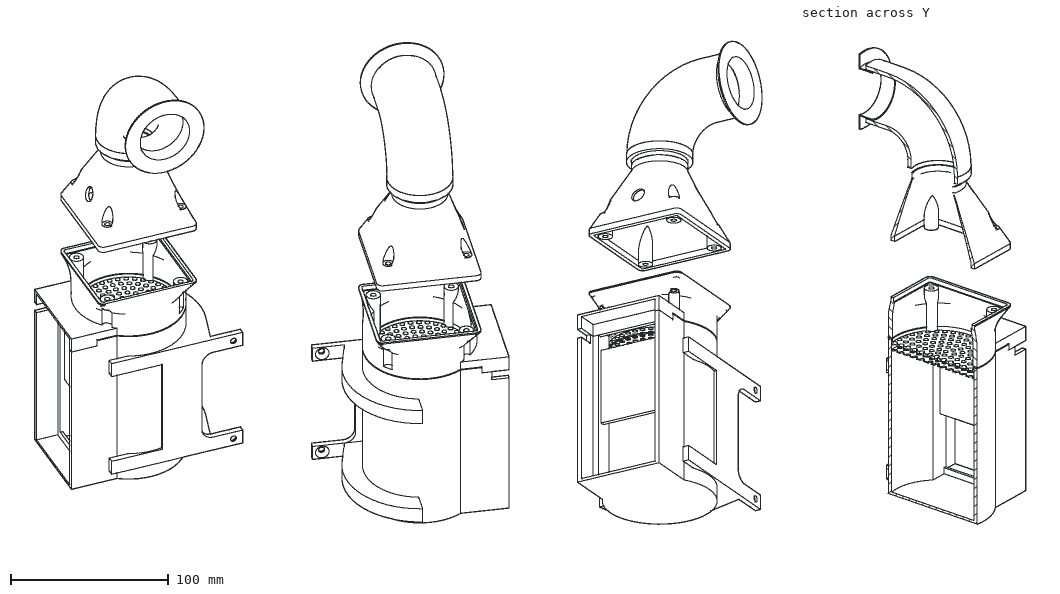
import cadquery as cq
import math

body_radius = 36.5
bore_radius = 33.5
floor_thickness = 2.0
seam_height = 110.0
seam_gap = 0.5
step_height = 106.0

box_half_width = 30.0
box_front = -52.0
box_top = 116.0
inlet_half_width = 27.0
inlet_bottom = 1.8
inlet_top = 114.2
frame_front = -37.5
frame_back = -34.3
sill_back = -35.5
opening_half_width = 23.0
opening_bottom = 6.5
notch_depth = 11.2
notch_height = 6.0

baffle_bottom = 46.2
baffle_top = 96.5
baffle_thickness = 3.0

screen_bottom = 101.8
screen_thickness = 1.0

grid_ring_count = 6
grid_hole_step = 6
grid_ring_pitch = 5.2
grid_hole_diameter = 3.0

adapter_bore_radius = 32.8
spigot_bottom = step_height
grid_top = 108.2
neck_top = 127.3
rim_bottom = 138.8
rim_top = 139.7
square_half = 33.7
corner_radius = 3.5
rim_wall = 2.0
ledge_height = 136.7
ledge_width = 1.0

screw_offset = 25.2
screw_hole_diameter = 3.3
screw_head_diameter = 7.0
screw_post_diameter = 9.0
groove_bottom = 114.5
groove_top = 130.5

hood_bottom = 179.5
hood_base_thickness = 4.0
hood_neck_bottom = 228.2
hood_top = 232.5
hood_wall = 3.0
head_seat_height = 194.5
port_diameter = 9.0
port_height = 202.0

pipe_outer_diameter = 36.0
pipe_inner_diameter = 34.0

elbow_bore_diameter = 36.2
elbow_diameter = 42.0
collar_diameter = 42.2
collar_bottom = 235.0
bend_bottom = 240.5
bend_radius = 36.2
elbow_end = 54.0
elbow_axis_height = bend_bottom + bend_radius

flange_diameter = 54.0
flange_face = 59.5
flange_thickness = 1.0
flange_insertion = 5.5

arm_radius = 49.5
arm_height = 10.0
arm_bottoms = (9.7, 85.0)
arm_end = 7.5
plate_inner = 33.5
plate_outer = 37.5
plate_front = -27.3
plate_back = 63.0
arm_plate_corner = 42.2
web_back = 35.0
web_fillet = 7.5
bracket_hole_position = 56.5
bracket_hole_diameter = 4.0
countersink_diameter = 8.8
countersink_angle = 90


def box(x_range, y_range, z_range):
    """Box between two limits along each axis."""
    size = [high - low for low, high in (x_range, y_range, z_range)]
    corner = (x_range[0], y_range[0], z_range[0])
    return cq.Workplane("XY").box(*size, centered=False).translate(corner)


def cylinder(diameter, bottom, top, x=0, y=0):
    """Vertical cylinder."""
    return cq.Workplane("XY", origin=(x, y, bottom)).circle(diameter / 2).extrude(top - bottom)


def rounded_square(half, radius, bottom, top):
    """Square prism with rounded vertical edges."""
    prism = box((-half, half), (-half, half), (bottom, top))
    return prism.edges("|Z").fillet(radius)


def at_corners(make_post):
    """Union of one post at each of the four screw positions."""
    posts = cq.Workplane("XY")
    for x in (-screw_offset, screw_offset):
        for y in (-screw_offset, screw_offset):
            posts = posts.union(make_post(x, y))
    return posts


def polar(radius, angle, height):
    """Point at a given distance and angle (degrees) from the Z axis."""
    turn = math.radians(angle)
    return cq.Vector(radius * math.cos(turn), radius * math.sin(turn), height)


def square_to_round(half, radius, square_height, circle_radius, circle_height):
    """Solid that blends a rounded square into a circle."""
    square = cq.Sketch().rect(2 * half, 2 * half).vertices().fillet(radius)
    circle = cq.Sketch().circle(circle_radius)
    blend = cq.Workplane("XY").placeSketch(
        square.moved(cq.Location((0, 0, square_height))),
        circle.moved(cq.Location((0, 0, circle_height))),
    )
    return blend.loft(ruled=True)


def make_housing():
    tube = cylinder(2 * body_radius, 0, seam_height)
    inlet_box = box((-box_half_width, box_half_width), (box_front, 0), (0, seam_height))
    housing = tube.union(inlet_box)

    opening = (-opening_half_width, opening_half_width)
    housing = housing.cut(cylinder(2 * bore_radius, floor_thickness, seam_height))
    housing = housing.cut(box(opening, (sill_back, 0), (floor_thickness, seam_height)))
    housing = housing.cut(box(opening, (frame_front, 0), (opening_bottom, seam_height)))

    inlet = (-inlet_half_width, inlet_half_width)
    housing = housing.cut(box(inlet, (box_front, frame_front), (inlet_bottom, seam_height)))

    box_width = (-box_half_width, box_half_width)
    housing = housing.cut(box(box_width, (box_front, frame_back), (step_height, seam_height)))
    notch = box(
        (-box_half_width, -inlet_half_width),
        (box_front, box_front + notch_depth),
        (step_height - notch_height, step_height),
    )
    return housing.cut(notch)


def make_baffle():
    return box(
        (-opening_half_width, opening_half_width),
        (frame_back, frame_back + baffle_thickness),
        (baffle_bottom, baffle_top),
    )


def make_screen():
    screen = cylinder(2 * bore_radius, screen_bottom, screen_bottom + screen_thickness)
    return screen.cut(grid_holes())


def grid_holes():
    """Concentric rings of vertical holes around a central one."""
    centres = [(0, 0)]
    for ring in range(1, grid_ring_count + 1):
        count = ring * grid_hole_step
        for index in range(count):
            centre = polar(ring * grid_ring_pitch, 360 * index / count, 0)
            centres.append((centre.x, centre.y))
    plane = cq.Workplane("XY", origin=(0, 0, screen_bottom))
    return plane.pushPoints(centres).circle(grid_hole_diameter / 2).extrude(grid_top - screen_bottom)


def adapter_outside():
    """Outer form of the adapter above the seam, without the inlet cover."""
    neck = cylinder(2 * body_radius, seam_height + seam_gap, neck_top)
    blend = square_to_round(square_half, corner_radius, rim_bottom, body_radius, neck_top)
    rim = rounded_square(square_half, corner_radius, rim_bottom, rim_top)
    return neck.union(blend).union(rim)


def inlet_cover():
    """Roof over the inlet box, stepped down in front of the frame."""
    width = (-box_half_width, box_half_width)
    cover = box(width, (box_front, 0), (seam_height + seam_gap, box_top))
    cover = cover.union(box(width, (box_front, frame_back), (step_height, box_top)))
    inlet = (-inlet_half_width, inlet_half_width)
    return cover.cut(box(inlet, (box_front, frame_front), (step_height, inlet_top)))


def make_adapter():
    adapter = adapter_outside()
    adapter = adapter.union(cylinder(2 * bore_radius, spigot_bottom, neck_top))

    recess_half = square_half - rim_wall
    recess_corner = corner_radius - rim_wall
    mouth_half = recess_half - ledge_width
    cavity = cylinder(2 * adapter_bore_radius, grid_top, neck_top)
    cavity = cavity.union(
        square_to_round(mouth_half, recess_corner, ledge_height, adapter_bore_radius, neck_top)
    )
    posts = at_corners(lambda x, y: cylinder(screw_post_diameter, grid_top, ledge_height, x, y))
    adapter = adapter.cut(cavity.cut(posts))
    adapter = adapter.cut(rounded_square(recess_half, recess_corner, ledge_height, rim_top))

    grooves = at_corners(lambda x, y: cylinder(screw_head_diameter, groove_bottom, groove_top, x, y))
    holes = at_corners(lambda x, y: cylinder(screw_hole_diameter, groove_top, ledge_height, x, y))
    adapter = adapter.cut(grooves).cut(holes).cut(grid_holes())

    cover = inlet_cover().cut(cylinder(2 * adapter_bore_radius, spigot_bottom, box_top))
    return adapter.union(cover)


def make_hood():
    base_top = hood_bottom + hood_base_thickness
    pipe_radius = pipe_outer_diameter / 2
    bore = pipe_inner_diameter / 2

    base = rounded_square(square_half, corner_radius, hood_bottom, base_top)
    slope = square_to_round(square_half, corner_radius, base_top, pipe_radius, hood_neck_bottom)
    outside = base.union(slope).union(cylinder(pipe_outer_diameter, hood_neck_bottom, hood_top))

    inner_half = square_half - hood_wall
    inner_corner = corner_radius - hood_wall
    cavity = rounded_square(inner_half, inner_corner, hood_bottom, base_top)
    cavity = cavity.union(square_to_round(inner_half, inner_corner, base_top, bore, hood_neck_bottom))
    cavity = cavity.union(cylinder(pipe_inner_diameter, hood_neck_bottom, hood_top))
    posts = at_corners(lambda x, y: cylinder(screw_post_diameter, hood_bottom, hood_neck_bottom, x, y))
    hood = outside.cut(cavity.cut(posts))

    heads = at_corners(lambda x, y: cylinder(screw_head_diameter, head_seat_height, hood_top, x, y))
    holes = at_corners(lambda x, y: cylinder(screw_hole_diameter, hood_bottom, head_seat_height, x, y))
    hood = hood.cut(heads).cut(holes)

    port = cq.Workplane("XZ", origin=(0, 0, port_height)).circle(port_diameter / 2).extrude(square_half)
    return hood.cut(port)


def bent_rod(diameter):
    """Quarter bend from straight up to +X, with the straight run that follows it."""
    start = cq.Workplane("XY", origin=(0, 0, bend_bottom)).circle(diameter / 2)
    bend = start.revolve(90, (bend_radius, 0, 0), (bend_radius, 1, 0))
    straight = cq.Workplane("YZ", origin=(bend_radius, 0, elbow_axis_height)).circle(diameter / 2)
    return bend.union(straight.extrude(elbow_end - bend_radius))


def make_elbow():
    elbow = bent_rod(elbow_diameter).union(cylinder(collar_diameter, collar_bottom, bend_bottom))
    bore = bent_rod(elbow_bore_diameter).union(cylinder(elbow_bore_diameter, collar_bottom, bend_bottom))
    return elbow.cut(bore)


def make_flange():
    pipe_start = elbow_end - flange_insertion
    disc_start = flange_face - flange_thickness
    disc = cq.Workplane("YZ", origin=(disc_start, 0, elbow_axis_height))
    disc = disc.circle(flange_diameter / 2).extrude(flange_thickness)
    pipe = cq.Workplane("YZ", origin=(pipe_start, 0, elbow_axis_height))
    bore = pipe.circle(pipe_inner_diameter / 2).extrude(flange_face - pipe_start)
    pipe = pipe.circle(pipe_outer_diameter / 2).extrude(disc_start - pipe_start)
    return disc.union(pipe).cut(bore)


def bracket_arm(bottom):
    """Arm curved around the tube, ending in a flat plate with a countersunk hole."""
    corner_distance = math.hypot(plate_inner, arm_plate_corner)
    corner_angle = math.atan2(arm_plate_corner, plate_inner)
    tangent_angle = math.degrees(corner_angle + math.acos(arm_radius / corner_distance))
    tangent_point = polar(arm_radius, tangent_angle, 0)
    end_angle = 180 - math.degrees(math.asin(arm_end / arm_radius))
    end_point = polar(arm_radius, end_angle, 0)
    middle_point = polar(arm_radius, (tangent_angle + end_angle) / 2, 0)
    arm = (
        cq.Workplane("XY", origin=(0, 0, bottom))
        .moveTo(end_point.x, end_point.y)
        .threePointArc((middle_point.x, middle_point.y), (tangent_point.x, tangent_point.y))
        .lineTo(plate_inner, arm_plate_corner)
        .lineTo(plate_inner, arm_end)
        .close()
        .extrude(arm_height)
    )
    plate = box((plate_inner, plate_outer), (plate_front, plate_back), (bottom, bottom + arm_height))
    hole_face = cq.Workplane("YZ", origin=(plate_inner, bracket_hole_position, bottom + arm_height / 2))
    hole = hole_face.circle(bracket_hole_diameter / 2).extrude(plate_outer - plate_inner)
    sink_depth = (countersink_diameter - bracket_hole_diameter) / 2
    sink = hole_face.circle(countersink_diameter / 2).extrude(sink_depth, taper=countersink_angle / 2)
    return arm.union(plate).cut(hole).cut(sink)


def bracket_web():
    """Plate that joins the two arms, with concave fillets where its back edge meets them."""
    low = arm_bottoms[0] + arm_height
    high = arm_bottoms[1]
    outline = (
        cq.Workplane("YZ", origin=(plate_inner, 0, 0))
        .moveTo(arm_end, low)
        .lineTo(web_back + web_fillet, low)
        .radiusArc((web_back, low + web_fillet), web_fillet)
        .lineTo(web_back, high - web_fillet)
        .radiusArc((web_back + web_fillet, high), web_fillet)
        .lineTo(arm_end, high)
        .close()
    )
    return outline.extrude(plate_outer - plate_inner)


def make_bracket():
    bracket = bracket_web()
    for bottom in arm_bottoms:
        bracket = bracket.union(bracket_arm(bottom))
    return bracket.cut(cylinder(2 * body_radius, 0, seam_height))


housing = make_housing()
baffle = make_baffle()
screen = make_screen()
adapter = make_adapter()
hood = make_hood()
elbow = make_elbow()
flange = make_flange()
bracket = make_bracket()

bodies = [housing, baffle, screen, adapter, hood, elbow, flange, bracket]
result = cq.Compound.makeCompound([body.val() for body in bodies])